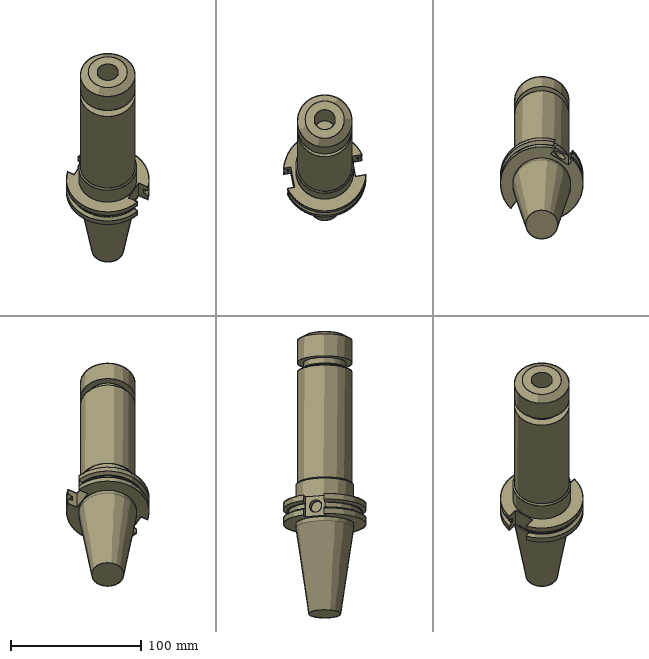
import cadquery as cq
import math


gauge_radius = 44.45 / 2
shank_length = 68.25
taper_ratio = 7 / 24
shank_end_radius = gauge_radius - shank_length * taper_ratio / 2

flange_radius = 63.5 / 2
flange_bottom = 3.18
flange_top = 19.05
groove_center = (flange_bottom + flange_top) / 2
groove_mouth_width = 7.0
groove_floor_width = 3.9
groove_floor_radius = 27.95
groove_flank_angle = 30
groove_flank_height = (groove_mouth_width - groove_floor_width) / 2
groove_shoulder_radius = flange_radius - groove_flank_height / math.tan(math.radians(groove_flank_angle))

collar_top = flange_top + 16.0
body_radius = 21.0
collar_chamfer = gauge_radius - body_radius
body_top = 124.0

neck_radius = 15.1
neck_top = 126.3
nut_collar_radius = 16.3
nut_collar_chamfer = 0.6

nut_radius = body_radius
nut_top = 152.4
nut_height = 21.0
nut_bottom = nut_top - nut_height
nut_bevel_height = 3.5
nut_face_radius = 15.0

bore_radius = 8.0
bore_depth = nut_top - body_top

slot_width = 16.38
slot_floor_left = -25.0
slot_floor_right = 22.6
slot_hole_radius = 4.8
slot_hole_depth = 5.0


def make_turned_body():
    """Revolve everything that is symmetric about the spindle axis."""
    profile = [
        (0, -shank_length),
        (shank_end_radius, -shank_length),
        (gauge_radius, 0),
        (gauge_radius, flange_bottom),
        (flange_radius, flange_bottom),
        (flange_radius, groove_center - groove_mouth_width / 2),
        (groove_shoulder_radius, groove_center - groove_floor_width / 2),
        (groove_floor_radius, groove_center - groove_floor_width / 2),
        (groove_floor_radius, groove_center + groove_floor_width / 2),
        (groove_shoulder_radius, groove_center + groove_floor_width / 2),
        (flange_radius, groove_center + groove_mouth_width / 2),
        (flange_radius, flange_top),
        (gauge_radius, flange_top),
        (gauge_radius, collar_top - collar_chamfer),
        (body_radius, collar_top),
        (body_radius, body_top),
        (neck_radius, body_top),
        (neck_radius, neck_top),
        (nut_collar_radius - nut_collar_chamfer, neck_top),
        (nut_collar_radius, neck_top + nut_collar_chamfer),
        (nut_collar_radius, nut_bottom),
        (nut_radius, nut_bottom),
        (nut_radius, nut_top - nut_bevel_height),
        (nut_face_radius, nut_top),
        (0, nut_top),
    ]
    return cq.Workplane("XZ").polyline(profile).close().revolve(360, (0, 0), (0, 1))


def make_collet_bore():
    """Blind bore from the nut face."""
    return cq.Workplane("XY").workplane(offset=nut_top).circle(bore_radius).extrude(-bore_depth)


def make_drive_slot(floor_x):
    """Slot through the flange height, from its floor outward to the rim."""
    rim_x = flange_radius if floor_x > 0 else -flange_radius
    return (
        cq.Workplane("XY")
        .workplane(offset=flange_bottom)
        .center((floor_x + rim_x) / 2, 0)
        .rect(abs(rim_x - floor_x), slot_width)
        .extrude(flange_top - flange_bottom)
    )


def make_slot_hole():
    """Flat-bottomed radial hole in the floor of the -X drive slot."""
    return (
        cq.Workplane("YZ")
        .workplane(offset=slot_floor_left)
        .center(0, groove_center)
        .circle(slot_hole_radius)
        .extrude(slot_hole_depth)
    )


result = make_turned_body().cut(make_collet_bore())
for slot_floor in (slot_floor_left, slot_floor_right):
    result = result.cut(make_drive_slot(slot_floor))
result = result.cut(make_slot_hole())